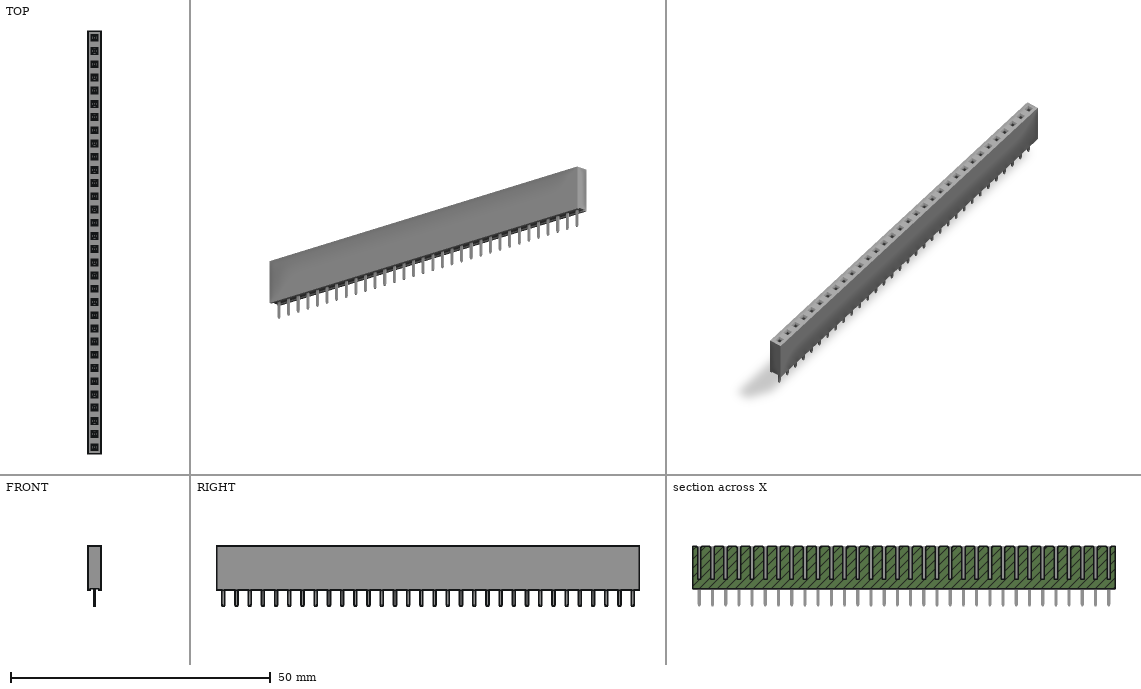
import cadquery as cq


strip_length = 81.3
position_count = 32
pitch = strip_length / position_count
housing_width = 2.5
housing_height = 8.5

channel_width = 1.6
channel_depth = 0.25

mouth_size = 1.2
funnel_depth = 0.3
throat_size = mouth_size - 2 * funnel_depth
throat_depth = 6.0

pin_length = 3.1
pin_thickness = 0.2
pin_width = 0.61
tip_width = 0.3
tip_length = 0.3


def make_housing():
    block = cq.Workplane("XY").box(
        housing_width, strip_length, housing_height, centered=(True, True, False)
    )
    channel = cq.Workplane("XY").box(
        channel_width, strip_length, channel_depth, centered=(True, True, False)
    )
    return block.cut(channel)


def make_socket_cavity():
    """Square funnel that narrows into a blind square contact hole."""
    funnel = (
        cq.Workplane("XY", origin=(0, 0, housing_height))
        .rect(mouth_size, mouth_size)
        .workplane(offset=-funnel_depth)
        .rect(throat_size, throat_size)
        .loft()
    )
    throat = (
        cq.Workplane("XY", origin=(0, 0, housing_height - funnel_depth))
        .rect(throat_size, throat_size)
        .extrude(-throat_depth)
    )
    return funnel.union(throat)


def make_pin():
    """Flat blade whose two narrow edges taper towards a blunt tip."""
    shoulder_z = tip_length - pin_length
    outline = [
        (-pin_width / 2, channel_depth),
        (-pin_width / 2, shoulder_z),
        (-tip_width / 2, -pin_length),
        (tip_width / 2, -pin_length),
        (pin_width / 2, shoulder_z),
        (pin_width / 2, channel_depth),
    ]
    return cq.Workplane("YZ").polyline(outline).close().extrude(pin_thickness / 2, both=True)


row = cq.Workplane("XY").rarray(0.8, pitch, 1, position_count)
socket_cavity = make_socket_cavity().val()
pin = make_pin().val()
cavities = row.eachpoint(lambda place: socket_cavity.moved(place))
pins = row.eachpoint(lambda place: pin.moved(place))

result = make_housing().cut(cavities).union(pins)